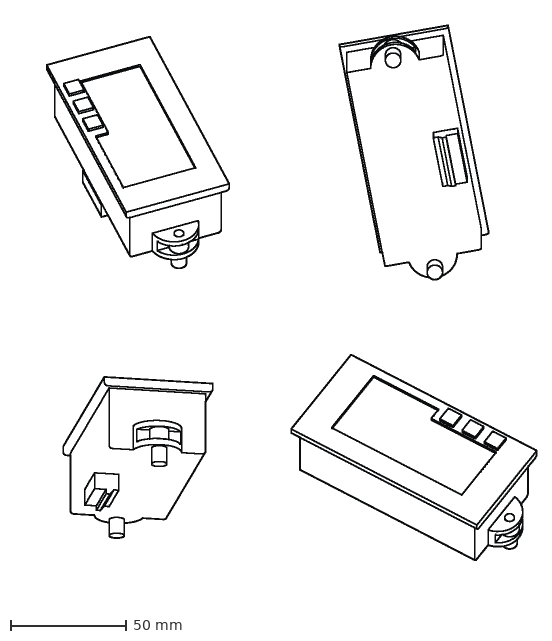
import cadquery as cq

bezel_length = 96.0
bezel_width = 48.0
bezel_thickness = 4.0
bezel_round = 1.6
body_length = 90.3
body_width = 42.7
body_height = 27.6
body_round = 1.5
bezel_top = body_height + bezel_thickness

window_half_length = 33.6
window_back = 13.9
window_front = -19.7
window_step_y = -13.8
window_step_x = 0.0
window_depth = 1.1

button_size = 6.8
button_height = 1.3
button_pitch = 11.5
button_count = 3
button_y = -18.2

overall_length = 108.3
ear_radius = 10.8
ear_height = 11.0
ear_center_x = overall_length / 2 - ear_radius
slot_bottom = 2.8
slot_top = 8.5
slot_back_x = 48.2
screw_x = 49.4
hub_radius = 4.2
pin_radius = 3.4
pin_length = 7.3
hole_diameter = 4.2

latch_length = 22.6
latch_width = 10.7
latch_height = 7.3
latch_back = latch_width - body_width / 2
tooth_back = latch_back - 2.2
tooth_tip_back = tooth_back - 1.7
tooth_front = tooth_back - 3.5
tooth_height = 2.1


def make_housing():
    """Body and bezel, each rounded along its two lower long edges."""
    body = cq.Workplane("XY").box(body_length, body_width, body_height, centered=(True, True, False))
    body = body.faces("<Z").edges("|X").fillet(body_round)
    bezel = cq.Workplane("XY").box(bezel_length, bezel_width, bezel_thickness, centered=(True, True, False))
    bezel = bezel.faces("<Z").edges("|X").fillet(bezel_round)
    return body.union(bezel.translate((0, 0, body_height)))


def make_window():
    """Stepped recess cutter, open at the top of the bezel."""
    outline = [
        (-window_half_length, window_back),
        (window_half_length, window_back),
        (window_half_length, window_front),
        (window_step_x, window_front),
        (window_step_x, window_step_y),
        (-window_half_length, window_step_y),
    ]
    return cq.Workplane("XY", origin=(0, 0, bezel_top)).polyline(outline).close().extrude(-window_depth)


def make_buttons():
    """Row of square buttons starting flush with the left end of the window."""
    first_x = -window_half_length + button_size / 2
    centers = [(first_x + i * button_pitch, button_y) for i in range(button_count)]
    row = cq.Workplane("XY", origin=(0, 0, bezel_top)).pushPoints(centers)
    return row.rect(button_size, button_size).extrude(button_height)


def make_right_ear():
    """Rounded ear outside the +X end of the body, with hub, pin and screw hole."""
    ear = cq.Workplane("XY").center(ear_center_x, 0).circle(ear_radius).extrude(ear_height)
    outside = cq.Workplane("XY").box(ear_radius, 2 * ear_radius, ear_height, centered=(False, True, False))
    ear = ear.intersect(outside.translate((body_length / 2, 0, 0)))

    slot_height = slot_top - slot_bottom
    slot = cq.Workplane("XY").box(ear_radius, 2 * ear_radius, slot_height, centered=(False, True, False))
    ear = ear.cut(slot.translate((slot_back_x, 0, slot_bottom)))

    hub = cq.Workplane("XY", origin=(screw_x, 0, slot_bottom)).circle(hub_radius).extrude(slot_height)
    hub = hub.intersect(slot.translate((slot_back_x, 0, slot_bottom)))
    pin = cq.Workplane("XY", origin=(screw_x, 0, 0)).circle(pin_radius).extrude(-pin_length)
    hole = cq.Workplane("XY", origin=(screw_x, 0, 0)).circle(hole_diameter / 2).extrude(ear_height)
    return ear.union(hub).cut(hole).union(pin)


def make_latch():
    """Block flush with the front of the body, with a sloped tooth under it."""
    outline = [
        (-body_width / 2, 0),
        (latch_back, 0),
        (latch_back, -latch_height),
        (tooth_back, -latch_height),
        (tooth_tip_back, -latch_height - tooth_height),
        (tooth_front, -latch_height - tooth_height),
        (tooth_front, -latch_height),
        (-body_width / 2, -latch_height),
    ]
    return cq.Workplane("YZ").polyline(outline).close().extrude(latch_length / 2, both=True)


right_ear = make_right_ear()
left_ear = right_ear.mirror("YZ")

result = make_housing().cut(make_window()).union(make_buttons())
result = result.union(right_ear).union(left_ear).union(make_latch())